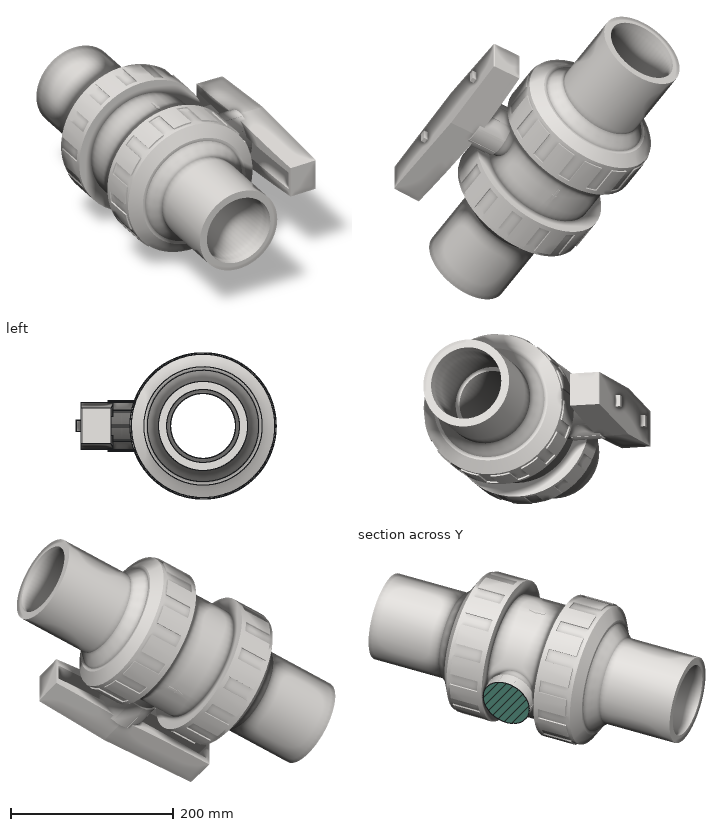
import cadquery as cq


overall_length = 406.0
pipe_radius = 110.0 / 2
pipe_bore_radius = 90.0 / 2
ball_bore_radius = 80.0 / 2
body_radius = 146.0 / 2
shoulder_radius = 137.5 / 2
shoulder_start = 108.5

nut_radius = 180.5 / 2
groove_floor_radius = 177.0 / 2
nut_inner_face = 35.0
groove_inner_end = 41.0
groove_outer_end = 78.0
nut_cone_start = 83.2
nut_outer_face = 92.5
groove_count = 14
groove_angle = 10.0
groove_offset_angle = 5.1

stem_radius = 58.0 / 2
hub_radius = 63.0 / 2
hub_bottom = 78.8
hub_top = 117.5
flute_count = 10
flute_width = 2.5
flute_depth = 0.5

handle_left = -100.0
handle_right = 132.5
handle_lip = 1.2
handle_back = 150.5
handle_end_front = 113.5
handle_mid_front = 111.0
handle_mid_width = 58.0
handle_left_width = 44.0
handle_right_width = 40.5
handle_corner_radius = 1.5
channel_width = 23.5
channel_back = 142.0
end_wall = 3.2

pad_spacing = 113.0
pad_length = 6.5
pad_width = 14.2
pad_top = 247.0 - nut_radius

arrow_length = 21.5
arrow_head_length = 11.0
arrow_head_width = 5.5
arrow_shaft_width = 3.0
arrow_height = 1.0

cut_clearance = 4.0


def revolve_about_x(profile, angle=360.0):
    """Revolve a list of (x, radius) points about the pipe axis."""
    return cq.Workplane("XY").polyline(profile).close().revolve(angle, (0, 0, 0), (1, 0, 0))


def x_cylinder(radius, length):
    return cq.Workplane("YZ").circle(radius).extrude(length / 2, both=True)


def y_cylinder(radius, bottom, top):
    return cq.Workplane("XZ", origin=(0, bottom, 0)).circle(radius).extrude(bottom - top)


def make_core():
    """Pipe ends, body and the smooth bases of both nuts, still without the bore."""
    nut_base_end = (nut_inner_face + groove_inner_end) / 2
    left_outline = [
        (-overall_length / 2, pipe_radius),
        (-shoulder_start, pipe_radius),
        (-nut_outer_face, shoulder_radius),
        (-nut_outer_face, body_radius),
        (-nut_cone_start, groove_floor_radius),
        (-nut_base_end, groove_floor_radius),
        (-nut_base_end, body_radius),
    ]
    right_outline = [(-x, radius) for x, radius in reversed(left_outline)]
    axis_ends = [(overall_length / 2, 0), (-overall_length / 2, 0)]
    return revolve_about_x(left_outline + right_outline + axis_ends)


def make_grip():
    """Raised grip of the -X nut; its slots reach below the smooth base of the nut."""
    grip = cq.Workplane("YZ", origin=(-groove_outer_end, 0, 0)).circle(nut_radius)
    grip = grip.extrude(groove_outer_end - nut_inner_face)
    slot_outer_radius = nut_radius + cut_clearance
    slot = revolve_about_x([
        (-groove_outer_end - cut_clearance, body_radius),
        (-groove_inner_end, body_radius),
        (-groove_inner_end, slot_outer_radius),
        (-groove_outer_end - cut_clearance, slot_outer_radius),
    ], groove_angle)
    first_angle = 180 - groove_offset_angle - groove_angle / 2
    for i in range(groove_count):
        grip = grip.cut(slot.rotate((0, 0, 0), (1, 0, 0), first_angle + i * 360 / groove_count))
    return grip


def make_hub():
    """Stem and fluted hub between the body and the handle."""
    stem = y_cylinder(stem_radius, 0, hub_bottom)
    hub = y_cylinder(hub_radius, hub_bottom, hub_top)
    flute_height = hub_top - hub_bottom
    flute = cq.Workplane("XY").box(2 * flute_depth, flute_height, flute_width)
    flute = flute.translate((-hub_radius, (hub_top + hub_bottom) / 2, 0))
    for i in range(flute_count):
        hub = hub.cut(flute.rotate((0, 0, 0), (0, 1, 0), i * 360 / flute_count))
    return stem.union(hub)


def make_handle():
    """Lever tapered to both ends, hollow towards the pipe, with two pads on its back."""
    side_shape = (
        cq.Workplane("XY")
        .moveTo(handle_left, handle_end_front)
        .threePointArc((0, handle_mid_front), (handle_right + handle_lip, handle_end_front))
        .lineTo(handle_right, handle_back)
        .lineTo(handle_left, handle_back)
        .close()
        .extrude(handle_mid_width / 2, both=True)
        .edges("|Z and >Y").fillet(handle_corner_radius)
    )
    right_tip = handle_right + handle_lip
    taper = (
        cq.Workplane("XZ")
        .polyline([
            (handle_left, -handle_left_width / 2),
            (0, -handle_mid_width / 2),
            (right_tip, -handle_right_width / 2),
            (right_tip, handle_right_width / 2),
            (0, handle_mid_width / 2),
            (handle_left, handle_left_width / 2),
        ])
        .close()
        .extrude(-2 * handle_back)
    )
    channel = (
        cq.Workplane("XY")
        .moveTo(handle_left + end_wall, 0)
        .lineTo(handle_right - end_wall, 0)
        .lineTo(handle_right - end_wall, channel_back)
        .lineTo(handle_left + end_wall, channel_back)
        .close()
        .extrude(channel_width / 2, both=True)
    )
    handle = side_shape.intersect(taper).cut(channel)
    pad_depth = (handle_back - channel_back) / 2
    pad_height = pad_top - handle_back + pad_depth
    for side in (-1, 1):
        pad = cq.Workplane("XY").box(pad_length, pad_height, pad_width)
        pad = pad.translate((side * pad_spacing / 2, pad_top - pad_height / 2, 0))
        handle = handle.union(pad)
    return handle


def make_arrows():
    """Flow arrows pointing to +X, on the top and bottom of the body."""
    tail = -arrow_length / 2
    tip = arrow_length / 2
    neck = tip - arrow_head_length
    outline = (
        cq.Workplane("XY")
        .polyline([
            (tail, -arrow_shaft_width / 2),
            (neck, -arrow_shaft_width / 2),
            (neck, -arrow_head_width / 2),
            (tip, 0),
            (neck, arrow_head_width / 2),
            (neck, arrow_shaft_width / 2),
            (tail, arrow_shaft_width / 2),
        ])
        .close()
        .extrude(nut_radius, both=True)
    )
    raised_skin = x_cylinder(body_radius + arrow_height, arrow_length)
    return outline.intersect(raised_skin)


left_grip = make_grip()
right_grip = left_grip.rotate((0, 0, 0), (0, 1, 0), 180)

result = (
    make_core()
    .union(left_grip)
    .union(right_grip)
    .union(make_arrows())
    .union(make_hub())
    .union(make_handle())
)

result = result.cut(x_cylinder(ball_bore_radius, overall_length))
pipe_bore = x_cylinder(pipe_bore_radius, overall_length)
pipe_bore = pipe_bore.cut(x_cylinder(pipe_bore_radius, 2 * nut_outer_face))
result = result.cut(pipe_bore)